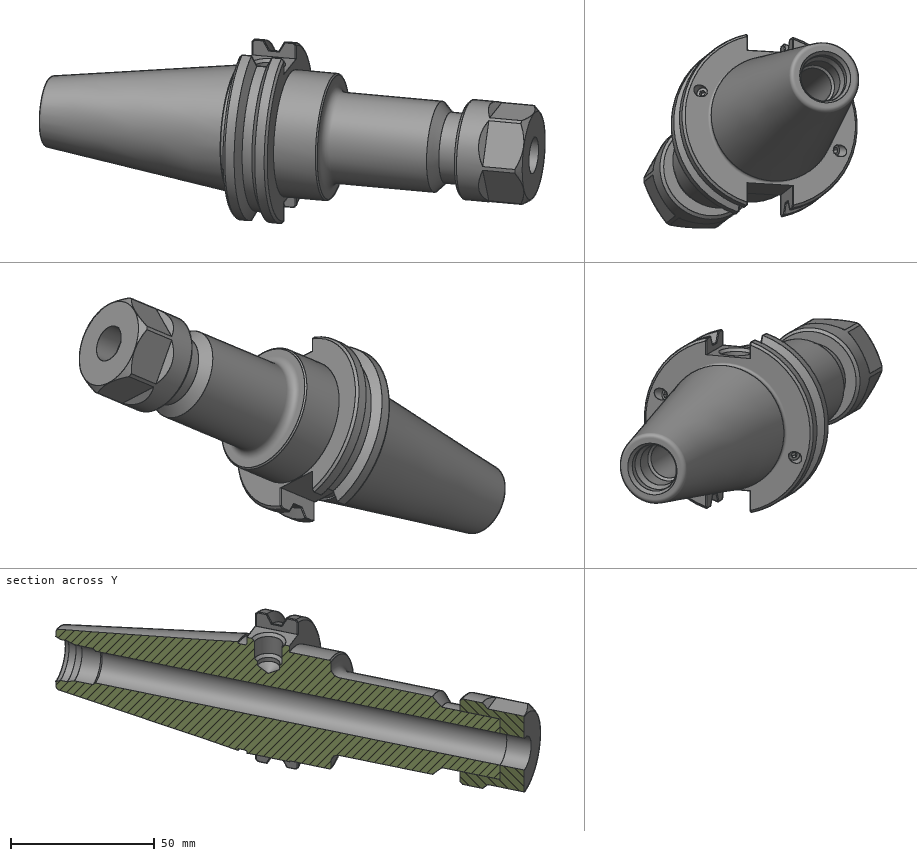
import cadquery as cq
import math


overall_length = 175.5

taper_length = 68.3
gauge_diameter = 44.5
taper_rate = 7 / 24
tip_diameter = gauge_diameter - taper_rate * taper_length
tip_fillet = 1.5
relief_diameter = 43.2
relief_fillet = 0.9

flange_start = 71.5
flange_width = 16.0
flange_end = flange_start + flange_width
flange_center = flange_start + flange_width / 2
flange_diameter = 63.3
flange_chamfer = 0.9
groove_floor_diameter = 56.5
groove_floor_width = 3.5
groove_angle = 30.0

collar_diameter = 44.5
collar_end = 103.2
collar_chamfer = 0.5
shank_diameter = 32.0
shank_fillet = 3.0
shank_end = 141.0
neck_diameter = 25.0
neck_end = 166.3

bore_diameter = 12.8
mouth_diameter = 18.5
counterbore_diameter = 16.5
mouth_depth = 1.8
counterbore_depth = 4.4
thread_diameter = 14.5
thread_start = 7.0
thread_depth = 14.0

slot_width = 16.1
slot_edge_chamfer = 0.4
upper_slot_floor = 24.7
lower_slot_floor = 22.6

slot_hole_diameter = 10.2
slot_hole_depth = 7.9
slot_hole_mouth = 12.3
drill_diameter = 8.0
drill_depth = 10.5
drill_tip_angle = 118.0

screw_circle_radius = 26.8
screw_angles = (20.0, 200.0)
screw_tilt = 35.0
screw_diameter = 4.0
screw_recess = 2.1
screw_length = 4.4
socket_size = 2.0
socket_depth = 1.8

nut_start = 151.2
nut_diameter = 35.1
nut_back_chamfer = 1.0
nut_front_chamfer = 2.1
hex_size = 31.0
hex_start = 161.8
hex_sides = 6


def axial_cylinder(start, end, diameter):
    """Cylinder around the X axis."""
    return cq.Workplane("YZ").workplane(offset=start).circle(diameter / 2).extrude(end - start)


def axial_cone(start, start_diameter, end, end_diameter):
    """Cone frustum around the X axis."""
    points = [(start, 0), (start, start_diameter / 2), (end, end_diameter / 2), (end, 0)]
    return cq.Workplane("XY").polyline(points).close().revolve(360, (0, 0, 0), (1, 0, 0))


def make_taper():
    """Taper with a rounded tip, and the shallow relief that leads into the flange."""
    taper = axial_cone(0, tip_diameter, taper_length, gauge_diameter).faces("<X").edges().fillet(tip_fillet)
    relief_radius = relief_diameter / 2
    bend = relief_fillet * (1 - math.sqrt(0.5))
    relief = (
        cq.Workplane("XY")
        .moveTo(taper_length, 0)
        .lineTo(taper_length, relief_radius)
        .lineTo(flange_start - relief_fillet, relief_radius)
        .threePointArc(
            (flange_start - bend, relief_radius + bend),
            (flange_start, relief_radius + relief_fillet),
        )
        .lineTo(flange_start, 0)
        .close()
        .revolve(360, (0, 0, 0), (1, 0, 0))
    )
    return taper.union(relief)


def make_flange():
    """Flange with a V groove around its rim."""
    flange = axial_cylinder(flange_start, flange_end, flange_diameter).edges().chamfer(flange_chamfer)
    rim_radius = flange_diameter / 2
    floor_radius = groove_floor_diameter / 2
    wall_run = (rim_radius - floor_radius) * math.tan(math.radians(groove_angle))
    floor_start = flange_center - groove_floor_width / 2
    floor_end = flange_center + groove_floor_width / 2
    groove = (
        cq.Workplane("XY")
        .polyline(
            [
                (floor_start - wall_run, rim_radius),
                (floor_start, floor_radius),
                (floor_end, floor_radius),
                (floor_end + wall_run, rim_radius),
            ]
        )
        .close()
        .revolve(360, (0, 0, 0), (1, 0, 0))
    )
    return flange.cut(groove)


def make_stem():
    """Collar, shank and neck in front of the flange."""
    collar = axial_cylinder(flange_end, collar_end, collar_diameter).faces(">X").edges().chamfer(collar_chamfer)
    shank_radius = shank_diameter / 2
    neck_radius = neck_diameter / 2
    bend = shank_fillet * (1 - math.sqrt(0.5))
    shank_and_neck = (
        cq.Workplane("XY")
        .moveTo(collar_end, 0)
        .lineTo(collar_end, shank_radius + shank_fillet)
        .threePointArc(
            (collar_end + bend, shank_radius + bend),
            (collar_end + shank_fillet, shank_radius),
        )
        .lineTo(shank_end, shank_radius)
        .lineTo(shank_end + shank_radius - neck_radius, neck_radius)
        .lineTo(neck_end, neck_radius)
        .lineTo(neck_end, 0)
        .close()
        .revolve(360, (0, 0, 0), (1, 0, 0))
    )
    return collar.union(shank_and_neck)


def make_bore():
    """Stepped through bore, widest at the tip of the taper."""
    thread_end = thread_depth + (thread_diameter - bore_diameter) / 2
    return (
        axial_cylinder(0, overall_length, bore_diameter)
        .union(axial_cone(0, mouth_diameter, mouth_depth, counterbore_diameter))
        .union(axial_cylinder(0, counterbore_depth, counterbore_diameter))
        .union(axial_cone(counterbore_depth, counterbore_diameter, thread_start, thread_diameter))
        .union(axial_cylinder(0, thread_depth, thread_diameter))
        .union(axial_cone(thread_depth, thread_diameter, thread_end, bore_diameter))
    )


def cut_drive_slot(flange, floor_height):
    """Cut a slot through the top of the flange and chamfer the free edges of its side walls."""
    slot_height = flange_diameter / 2 - floor_height
    slot = cq.Workplane("XY", origin=(flange_center, 0, floor_height)).rect(flange_width, slot_width)
    flange = flange.cut(slot.extrude(slot_height))
    for wall_side in (-1, 1):
        wall_y = wall_side * slot_width / 2
        wall_edges = cq.selectors.BoxSelector(
            (flange_start - 1.8, wall_y - 0.02, floor_height + 0.02),
            (flange_end + 1.8, wall_y + 0.02, flange_diameter / 2),
        )
        flange = flange.edges(wall_edges).chamfer(slot_edge_chamfer)
    return flange


def make_slot_hole():
    """Countersunk blind hole with a conical end, going down from the upper slot floor."""
    hole_radius = slot_hole_diameter / 2
    mouth_radius = slot_hole_mouth / 2
    drill_radius = drill_diameter / 2
    tip_height = drill_radius / math.tan(math.radians(drill_tip_angle / 2))
    return (
        cq.Workplane("XZ", origin=(flange_center, 0, upper_slot_floor))
        .polyline(
            [
                (0, 0),
                (mouth_radius, 0),
                (hole_radius, hole_radius - mouth_radius),
                (hole_radius, -slot_hole_depth),
                (drill_radius, -slot_hole_depth - hole_radius + drill_radius),
                (drill_radius, -drill_depth),
                (0, -drill_depth - tip_height),
            ]
        )
        .close()
        .revolve(360, (0, 0, 0), (0, 1, 0))
    )


def place_on_screw_axis(body, angle):
    """Move a body built along X onto a screw axis, which slopes inward from the flange face."""
    tilted = body.rotate((0, 0, 0), (0, 0, 1), -screw_tilt)
    return tilted.translate((flange_start, screw_circle_radius, 0)).rotate((0, 0, 0), (1, 0, 0), angle)


def make_screw_hole(angle):
    """Blind hole for a set screw, begun outside the flange so that it clears the whole mouth."""
    hole = axial_cylinder(-screw_diameter, screw_recess + screw_length, screw_diameter)
    return place_on_screw_axis(hole, angle)


def make_set_screw(angle):
    """Set screw with a hexagon socket, sunk below the flange face."""
    socket = (
        cq.Workplane("YZ")
        .workplane(offset=screw_recess)
        .polygon(6, socket_size, circumscribed=True)
        .extrude(socket_depth)
    )
    screw = axial_cylinder(screw_recess, screw_recess + screw_length, screw_diameter).cut(socket)
    return place_on_screw_axis(screw, angle)


def make_holder():
    """Tool holder from the taper to the neck that carries the nut."""
    flange = cut_drive_slot(make_flange(), lower_slot_floor).rotate((0, 0, 0), (1, 0, 0), 180)
    flange = cut_drive_slot(flange, upper_slot_floor)
    body = make_taper().union(flange).union(make_stem()).cut(make_bore()).cut(make_slot_hole())
    for angle in screw_angles:
        body = body.cut(make_screw_hole(angle))
    return body


def make_hex_flat():
    """Cutter for one nut flat, with a 45 degree run-out at its back end."""
    flat_height = hex_size / 2
    outer_height = nut_diameter / 2 + 1.8
    run_out = outer_height - flat_height
    return (
        cq.Workplane("XZ")
        .polyline(
            [
                (hex_start, flat_height),
                (overall_length, flat_height),
                (overall_length, outer_height),
                (hex_start - run_out, outer_height),
            ]
        )
        .close()
        .extrude(nut_diameter / 2, both=True)
    )


def make_nut():
    """Clamping nut: round at the back, hexagonal at the front, seated on the neck."""
    nut = axial_cylinder(nut_start, overall_length, nut_diameter)
    nut = nut.faces("<X").edges().chamfer(nut_back_chamfer)
    nut = nut.faces(">X").edges().chamfer(nut_front_chamfer)
    for side in range(hex_sides):
        nut = nut.cut(make_hex_flat().rotate((0, 0, 0), (1, 0, 0), side * 360 / hex_sides))
    nut = nut.cut(axial_cylinder(nut_start, neck_end, neck_diameter))
    return nut.cut(axial_cylinder(neck_end, overall_length, bore_diameter))


holder = make_holder()
nut = make_nut()
set_screws = [make_set_screw(angle) for angle in screw_angles]

result = cq.Compound.makeCompound([holder.val(), nut.val(), *[screw.val() for screw in set_screws]])